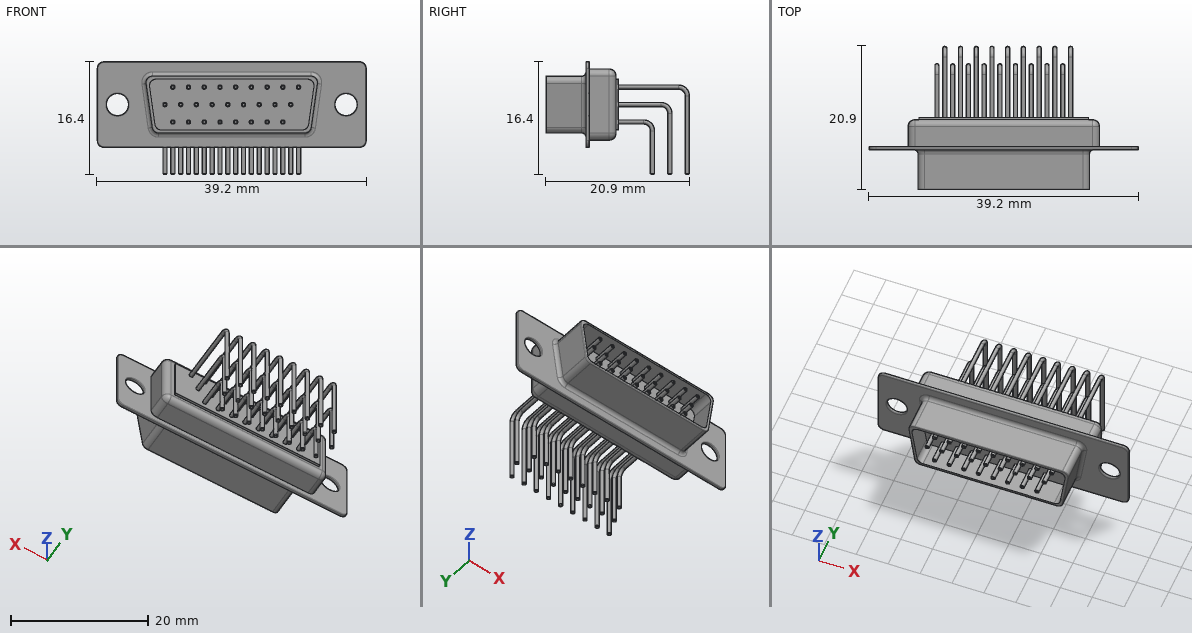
import math

import cadquery as cq


FLANGE_WIDTH = 39.2
FLANGE_HEIGHT = 12.5
FLANGE_THICKNESS = 0.5
FLANGE_CORNER_RADIUS = 1.0
FLANGE_EDGE_RADIUS = 0.1
MOUNT_HOLE_DIAMETER = 3.2
MOUNT_HOLE_SPACING = 33.3

SHELL_WIDTH = 25.0
SHELL_HEIGHT = 8.3
SHELL_PROJECTION = 5.8
SHELL_WALL = 0.45
SHELL_CORNER_RADIUS = 0.95
SHELL_SIDE_ANGLE = 8.0
SHELL_ROOT_RADIUS = 0.6
SHELL_RIM_RADIUS = 0.08
CAVITY_DEPTH = 3.75
ROOT_SELECTION_MARGIN = 0.1

BODY_WIDTH = 27.9
BODY_HEIGHT = 10.4
BODY_DEPTH = 3.9
BODY_CORNER_RADIUS = 1.05
BODY_EDGE_RADIUS = 1.0

PAD_WIDTH = 24.7
PAD_HEIGHT = 7.4
PAD_DEPTH = 0.35

PIN_DIAMETER = 0.64
PIN_PITCH = 2.29
ROW_SPACING = 2.54
PIN_TIP_CHAMFER = 0.12
PIN_BEND_RADIUS = 1.28
PIN_TIP_RECESS = 0.15
OVERALL_DEPTH = 20.9
OVERALL_HEIGHT = 16.4

BODY_BACK = FLANGE_THICKNESS + BODY_DEPTH
PIN_TIP_Y = PIN_TIP_RECESS - SHELL_PROJECTION
PIN_TAIL_Z = FLANGE_HEIGHT / 2 - OVERALL_HEIGHT
REAR_TAIL_Y = OVERALL_DEPTH - SHELL_PROJECTION - PIN_DIAMETER / 2

FULL_ROW_PINS = 9
MIDDLE_FIRST_X = -(FULL_ROW_PINS - 0.5) * PIN_PITCH / 2
UPPER_FIRST_X = MIDDLE_FIRST_X + PIN_PITCH / 2

PIN_ROWS = [
    (FULL_ROW_PINS, UPPER_FIRST_X, ROW_SPACING, REAR_TAIL_Y),
    (FULL_ROW_PINS, MIDDLE_FIRST_X, 0, REAR_TAIL_Y - ROW_SPACING),
    (FULL_ROW_PINS - 1, UPPER_FIRST_X, -ROW_SPACING, REAR_TAIL_Y - 2 * ROW_SPACING),
]


def block(width, height, depth, y_start):
    """Box centred on X and Z that runs from y_start towards the rear."""
    return cq.Workplane("XY").box(width, depth, height).translate((0, y_start + depth / 2, 0))


def d_prism(inset, y_start, y_end):
    """D-shaped prism whose sides lie a given distance inside the shell's outer face."""
    angle = math.radians(SHELL_SIDE_ANGLE)
    radius = SHELL_CORNER_RADIUS
    half_height = SHELL_HEIGHT / 2
    corner_overhang = radius * (math.tan((math.pi / 2 + angle) / 2) - 1)
    half_top = SHELL_WIDTH / 2 + corner_overhang
    half_bottom = half_top - SHELL_HEIGHT * math.tan(angle)
    corners = [
        (-half_top, half_height),
        (half_top, half_height),
        (half_bottom, -half_height),
        (-half_bottom, -half_height),
    ]
    outline = cq.Workplane("XZ", origin=(0, y_end, 0)).polyline(corners).close()
    if inset:
        outline = outline.offset2D(-inset)
    return outline.extrude(y_end - y_start).edges("|Y").fillet(radius)


def make_flange():
    flange = block(FLANGE_WIDTH, FLANGE_HEIGHT, FLANGE_THICKNESS, 0)
    flange = flange.edges("|Y").fillet(FLANGE_CORNER_RADIUS)
    holes = (
        cq.Workplane("XZ")
        .pushPoints([(-MOUNT_HOLE_SPACING / 2, 0), (MOUNT_HOLE_SPACING / 2, 0)])
        .circle(MOUNT_HOLE_DIAMETER / 2)
        .extrude(-FLANGE_THICKNESS)
    )
    flange = flange.cut(holes)
    return flange.faces("<Y or >Y").edges().fillet(FLANGE_EDGE_RADIUS)


def make_body():
    body = block(BODY_WIDTH, BODY_HEIGHT, BODY_DEPTH, FLANGE_THICKNESS)
    body = body.edges("|Y").fillet(BODY_CORNER_RADIUS)
    body = body.faces(">Y").edges().fillet(BODY_EDGE_RADIUS)
    return body.union(block(PAD_WIDTH, PAD_HEIGHT, PAD_DEPTH, BODY_BACK))


def add_shell(base):
    """Join the shell to the flange, flare its root and hollow it from the front."""
    shell = d_prism(0, -SHELL_PROJECTION, 0)
    shell = shell.faces("<Y").edges().fillet(SHELL_RIM_RADIUS)
    joined = base.union(shell)
    reach_x = SHELL_WIDTH / 2 + ROOT_SELECTION_MARGIN
    reach_z = SHELL_HEIGHT / 2 + ROOT_SELECTION_MARGIN
    root = cq.selectors.BoxSelector(
        (-reach_x, -ROOT_SELECTION_MARGIN, -reach_z),
        (reach_x, ROOT_SELECTION_MARGIN, reach_z),
    )
    joined = joined.edges(root).fillet(SHELL_ROOT_RADIUS)
    cavity = d_prism(SHELL_WALL, -SHELL_PROJECTION, CAVITY_DEPTH - SHELL_PROJECTION)
    return joined.cut(cavity)


def make_pin(x, z, tail_y):
    """Pin with a straight front run that bends down into its tail."""
    path = (
        cq.Workplane("YZ", origin=(x, 0, 0))
        .moveTo(PIN_TIP_Y, z)
        .lineTo(tail_y - PIN_BEND_RADIUS, z)
        .tangentArcPoint((tail_y, z - PIN_BEND_RADIUS), relative=False)
        .lineTo(tail_y, PIN_TAIL_Z)
    )
    pin = cq.Workplane("XZ", origin=(x, PIN_TIP_Y, z)).circle(PIN_DIAMETER / 2).sweep(path)
    pin = pin.faces("<Y").chamfer(PIN_TIP_CHAMFER)
    return pin.faces("<Z").chamfer(PIN_TIP_CHAMFER)


def add_pins(base):
    for count, first_x, z, tail_y in PIN_ROWS:
        for index in range(count):
            base = base.union(make_pin(first_x + index * PIN_PITCH, z, tail_y))
    return base


housing = add_shell(make_flange().union(make_body()))
result = add_pins(housing)